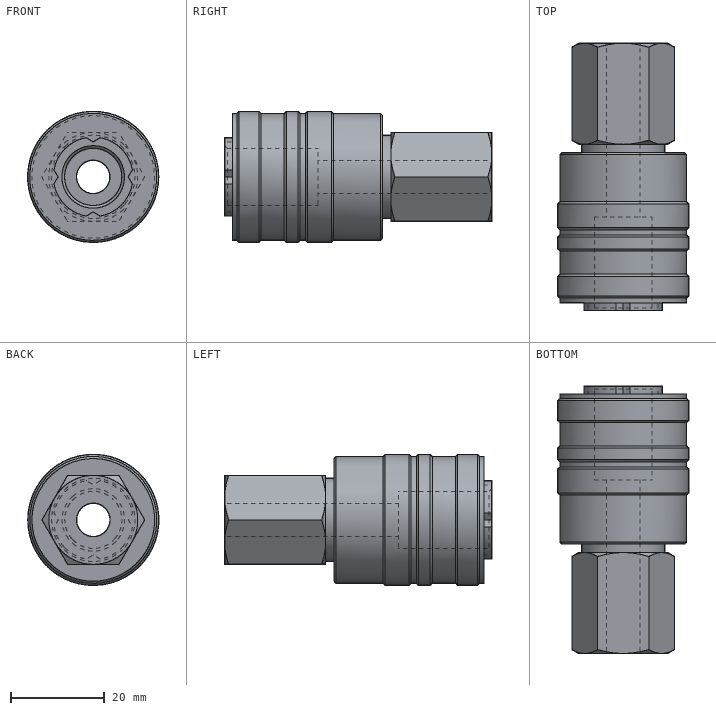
import cadquery as cq
import math

TOTAL_LENGTH = 57.0

MAX_RADIUS = 13.995
SLEEVE_RADIUS = 13.54
BAND_HEIGHT = MAX_RADIUS - SLEEVE_RADIUS
SLEEVE_START = 1.65
SLEEVE_END = 33.7
SLEEVE_CHAMFER = 0.45
BANDS = [(2.6, 7.75), (12.7, 16.15), (17.2, 23.2)]

NOSE_RADIUS = 8.5
NOTCH_COUNT = 4
NOTCH_ROOT_RADIUS = 7.45
NOTCH_HALF_WIDTH = 1.5
NOTCH_MOUTH_RADIUS = math.sqrt(NOSE_RADIUS**2 - NOTCH_HALF_WIDTH**2)

NECK_RADIUS = 8.9
HEX_START = 35.45
HEX_ACROSS_FLATS = 19.0
HEX_ACROSS_CORNERS = HEX_ACROSS_FLATS / math.cos(math.pi / 6)
HEX_LENGTH = TOTAL_LENGTH - HEX_START
HEX_CHAMFER_ANGLE = 30.0
HEX_FACE_RADIUS = HEX_ACROSS_FLATS / 2

SOCKET_RADIUS = 6.1
SOCKET_DEPTH = 19.95
SOCKET_CHAMFER = 0.55
PASSAGE_RADIUS = 3.55


def cylinder(radius, start, end):
    """Cylinder along Y between two stations."""
    plane = cq.Workplane("XZ", origin=(0, start, 0))
    return plane.circle(radius).extrude(start - end)


def make_sleeve():
    """Cylindrical sleeve with bevelled grip bands."""
    sleeve = cylinder(SLEEVE_RADIUS, SLEEVE_START, SLEEVE_END)
    sleeve = sleeve.faces(">Y").chamfer(SLEEVE_CHAMFER)
    for start, end in BANDS:
        band = cylinder(MAX_RADIUS, start, end)
        sleeve = sleeve.union(band.faces("<Y or >Y").chamfer(BAND_HEIGHT))
    return sleeve


def make_nose():
    """Nose ring with V notches on the X and Z axes."""
    nose = cylinder(NOSE_RADIUS, 0, SLEEVE_START)
    slope = NOTCH_HALF_WIDTH / (NOTCH_MOUTH_RADIUS - NOTCH_ROOT_RADIUS)
    half_width = slope * (NOSE_RADIUS - NOTCH_ROOT_RADIUS)
    notch = (
        cq.Workplane("XZ")
        .moveTo(NOTCH_ROOT_RADIUS, 0)
        .lineTo(NOSE_RADIUS, half_width)
        .lineTo(NOSE_RADIUS, -half_width)
        .close()
        .extrude(-SLEEVE_START)
    )
    for index in range(NOTCH_COUNT):
        angle = index * 360 / NOTCH_COUNT
        nose = nose.cut(notch.rotate((0, 0, 0), (0, 1, 0), angle))
    return nose


def make_hexagon():
    """Hexagon with corners on X and both ends turned to a cone."""
    hexagon = (
        cq.Workplane("XZ", origin=(0, HEX_START, 0))
        .polygon(6, HEX_ACROSS_CORNERS)
        .extrude(-HEX_LENGTH)
    )
    corner_radius = HEX_ACROSS_CORNERS / 2
    radial_chamfer = corner_radius - HEX_FACE_RADIUS
    axial_chamfer = radial_chamfer * math.tan(math.radians(HEX_CHAMFER_ANGLE))
    turned_blank = (
        cylinder(corner_radius, HEX_START, TOTAL_LENGTH)
        .faces("<Y or >Y")
        .chamfer(axial_chamfer, radial_chamfer)
    )
    return hexagon.intersect(turned_blank)


def make_bores():
    """Chamfered socket bore opening into a through passage."""
    socket = cylinder(SOCKET_RADIUS, 0, SOCKET_DEPTH)
    mouth = cq.Workplane(
        cq.Solid.makeCone(
            SOCKET_RADIUS + SOCKET_CHAMFER,
            SOCKET_RADIUS,
            SOCKET_CHAMFER,
            dir=cq.Vector(0, 1, 0),
        )
    )
    passage = cylinder(PASSAGE_RADIUS, 0, TOTAL_LENGTH)
    return socket.union(mouth).union(passage)


neck = cylinder(NECK_RADIUS, SLEEVE_END, HEX_START)
body = make_sleeve().union(make_nose()).union(neck).union(make_hexagon())
result = body.cut(make_bores())